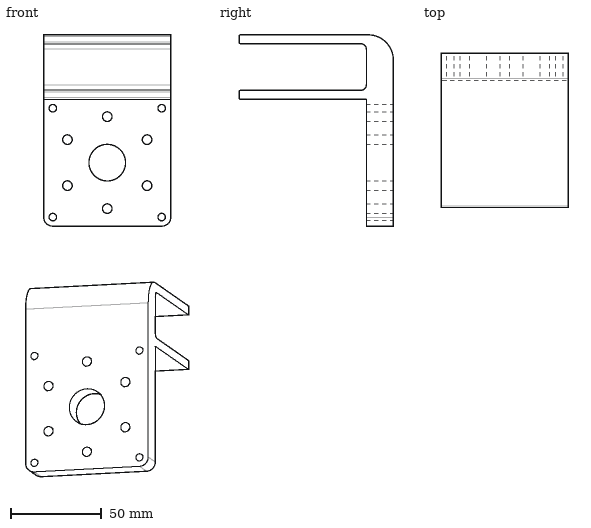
import cadquery as cq

width = 70.0
depth = 85.0
height = 105.5

plate_thickness = 15.0
flange_thickness = 5.1
flange_gap = 25.5
outer_bend_radius = 14.0
inner_fillet_radius = 3.0
tip_fillet_radius = 1.0
bottom_corner_radius = 5.0

pattern_center_z = 35.0
center_hole_diameter = 20.0
bolt_circle_radius = 25.3
bolt_count = 6
bolt_hole_diameter = 5.2
corner_hole_spacing = 59.9
corner_hole_diameter = 4.0

plate_front_y = depth - plate_thickness
slot_top_z = height - flange_thickness
slot_bottom_z = slot_top_z - flange_gap
lower_flange_bottom_z = slot_bottom_z - flange_thickness


def block(y_min, y_max, z_min, z_max):
    """Full-width block, centred on X = 0."""
    return cq.Workplane("XY").box(
        width, y_max - y_min, z_max - z_min, centered=(True, False, False)
    ).translate((0, y_min, z_min))


def fillet_edge_along_x(body, y, z, radius):
    """Round the full-width edge at the given Y and Z."""
    edge = cq.selectors.NearestToPointSelector((0, y, z))
    return body.edges("|X").edges(edge).fillet(radius)


def make_bracket():
    """Vertical plate with two parallel flanges and rounded edges."""
    body = block(plate_front_y, depth, 0, height)
    body = body.union(block(0, plate_front_y, slot_top_z, height))
    body = body.union(block(0, plate_front_y, lower_flange_bottom_z, slot_bottom_z))

    body = fillet_edge_along_x(body, depth, height, outer_bend_radius)
    for z in (slot_top_z, slot_bottom_z):
        body = fillet_edge_along_x(body, plate_front_y, z, inner_fillet_radius)
    for z in (height, slot_top_z, slot_bottom_z, lower_flange_bottom_z):
        body = fillet_edge_along_x(body, 0, z, tip_fillet_radius)
    return body.edges("|Y").edges("<Z").fillet(bottom_corner_radius)


def make_hole_cutters():
    """Centre bore, bolt circle and corner holes, all through the plate."""
    pattern = cq.Workplane("XZ", origin=(0, depth, pattern_center_z))
    bore = pattern.circle(center_hole_diameter / 2).extrude(plate_thickness)
    bolts = (
        pattern.polarArray(bolt_circle_radius, 90, 360, bolt_count)
        .circle(bolt_hole_diameter / 2)
        .extrude(plate_thickness)
    )
    corners = (
        pattern.rarray(corner_hole_spacing, corner_hole_spacing, 2, 2)
        .circle(corner_hole_diameter / 2)
        .extrude(plate_thickness)
    )
    return bore, bolts, corners


result = make_bracket()
for cutter in make_hole_cutters():
    result = result.cut(cutter)